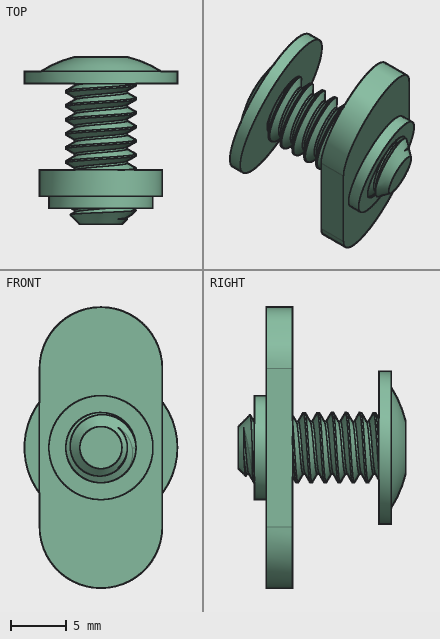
import cadquery as cq
import math


flange_diameter = 13.84
flange_thickness = 1.12
dome_base_diameter = 10.9
dome_top_diameter = 4.76
dome_height = 1.31

thread_diameter = 6.35
thread_pitch = 1.27
thread_depth = 0.785
thread_flank_half_angle = 30
thread_crest_width = thread_pitch / 8
first_crest_depth = 0.08
shank_length = 12.7
tip_chamfer = thread_pitch

plate_width = 11.11
plate_height = 25.4
plate_thickness = 2.39
plate_depth = 7.785
collar_diameter = 9.4
collar_height = 1.07

thread_radius = thread_diameter / 2


def make_thread_groove():
    """Helical V groove with a narrow flat root, along +Z and running past both shank ends."""
    overcut = thread_depth / 8
    flank_slope = math.tan(math.radians(thread_flank_half_angle))
    root_half_width = (thread_pitch - thread_crest_width) / 2 - thread_depth * flank_slope
    mouth_half_width = root_half_width + (thread_depth + overcut) * flank_slope
    root_radius = thread_radius - thread_depth
    mouth_radius = thread_radius + overcut

    groove_start = first_crest_depth - 1.5 * thread_pitch
    turns = math.ceil(shank_length / thread_pitch) + 3
    helix = cq.Wire.makeHelix(thread_pitch, turns * thread_pitch, thread_radius)
    section = cq.Workplane("XZ").polyline([
        (root_radius, -root_half_width),
        (mouth_radius, -mouth_half_width),
        (mouth_radius, mouth_half_width),
        (root_radius, root_half_width),
    ]).close()
    groove = section.sweep(cq.Workplane(obj=helix), isFrenet=True)
    return groove.translate((0, 0, groove_start))


def make_shank():
    """Threaded shank from Z = 0 up to its chamfered tip."""
    rod = cq.Workplane("XY").circle(thread_radius).extrude(shank_length)
    rod = rod.faces(">Z").chamfer(tip_chamfer)
    return rod.cut(make_thread_groove())


def make_head():
    """Flange and flat-topped dome, below Z = 0; the dome is part of a sphere centred on the axis."""
    flange_radius = flange_diameter / 2
    base_radius = dome_base_diameter / 2
    top_radius = dome_top_diameter / 2
    base_z = -flange_thickness
    top_z = base_z - dome_height

    center_z = (base_radius**2 + base_z**2 - top_radius**2 - top_z**2) / (2 * (base_z - top_z))
    sphere_radius = math.hypot(base_radius, base_z - center_z)
    middle_radius = (base_radius + top_radius) / 2
    middle_z = center_z - math.sqrt(sphere_radius**2 - middle_radius**2)

    return (
        cq.Workplane("XZ")
        .lineTo(flange_radius, 0)
        .lineTo(flange_radius, base_z)
        .lineTo(base_radius, base_z)
        .threePointArc((middle_radius, middle_z), (top_radius, top_z))
        .lineTo(0, top_z)
        .close()
        .revolve(360, (0, 0), (0, 1))
    )


def make_screw():
    """Head and shank as one solid, turned so that the tip points toward -Y."""
    screw = make_head().union(make_shank())
    return screw.rotate((0, 0, 0), (1, 0, 0), 90)


def make_plate():
    """Round-ended plate with a collar on its -Y face and a plain hole that fits the thread crests."""
    plate = (
        cq.Workplane("XZ", origin=(0, -plate_depth, 0))
        .slot2D(plate_height, plate_width, 90)
        .extrude(plate_thickness)
    )
    plate = plate.faces("<Y").workplane().circle(collar_diameter / 2).extrude(collar_height)
    return plate.faces("<Y").workplane().circle(thread_radius).cutThruAll()


screw = make_screw()
plate = make_plate()

result = cq.Compound.makeCompound([screw.solids().val(), plate.solids().val()])